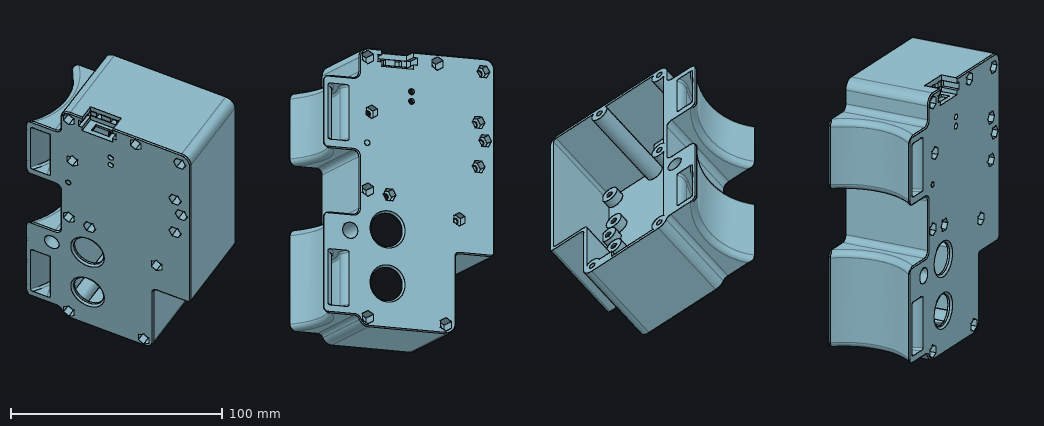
import cadquery as cq
import math


LENGTH_X = 87.99
DEPTH_Y = 44.75
HEIGHT_Z = 135.0

BODY_LEFT = 18.25
BODY_RADIUS = 5.0
BOTTOM_RIGHT = 68.1
STEP_Z = 39.4
STEP_RADIUS = 1.6
LUG_RADIUS = 3.0
UPPER_LUG_BOTTOM = 85.0
UPPER_LUG_TOP = 120.1
LOWER_LUG_BOTTOM = BODY_RADIUS
LOWER_LUG_TOP = 53.9
LUG_OVERRUN = 10.0
FRONT_CHAMFER = 0.6

TUBE_X = -23.5
TUBE_Y = 22.8
TUBE_RADIUS = 32.3
BACK_LAND_X = 1.4
BACK_LAND_DEPTH = 1.0

STRAP_INNER_RADIUS = TUBE_RADIUS + 2.0
STRAP_OUTER_RADIUS = STRAP_INNER_RADIUS + 4.0
STRAP_LIP_RADIUS = 6.0
STRAP_LIP_Y = 4.6
STRAP_HEIGHT = 27.2
STRAP_EDGE_RADIUS = 1.0
STRAP_CENTRES_Z = (102.65, 22.35)

WALL = 2.0
PLATE = 2.0
CAVITY_RADIUS = 1.6
LEDGE_X = 51.2
LEDGE_HEIGHT = 4.0
LEDGE_SEAT = 12.0
LEDGE_SEAT_DEPTH = 0.6
LEDGE_SEAT_Y = 17.0

SCREW_HOLE = 3.2
HEX_CORNERS = 6.5
POINTS_UP = 90
POINTS_SIDEWAYS = 0
CASE_HEX_DEPTH = 9.0
INNER_HEX_DEPTH = 5.4
POST_DIAMETER = 9.0
SHORT_POST = 6.4
SCREW_INSET = POST_DIAMETER / 2
SCREW_LEFT = BODY_LEFT + SCREW_INSET
SCREW_TOP = HEIGHT_Z - SCREW_INSET
TOP_SCREW_X = 58.6
BOTTOM_SCREW_X = 62.9
MIDDLE_SCREW_Z = 66.3
CASE_SCREWS = [
    (SCREW_LEFT, SCREW_TOP),
    (TOP_SCREW_X, SCREW_TOP),
    (SCREW_LEFT, MIDDLE_SCREW_Z),
    (SCREW_LEFT, SCREW_INSET),
    (BOTTOM_SCREW_X, SCREW_INSET),
]
INNER_SCREWS = [(24.7, 104.2), (69.8, 56.0)]
TURNED_SCREWS = [(82.2, 128.6), (79.7, 103.8), (83.1, 95.2), (79.7, 82.4), (33.9, 64.8)]

SENSOR_HOLE = 16.0
SENSOR_RIM = 18.0
SENSOR_X = 32.8
SENSOR_CENTRES_Z = (47.9, 21.7)
CABLE_HOLE = 7.8
CABLE_CENTRE = (13.6, 45.8)
LAMP_HOLE = 2.8
LAMP_X = 45.2
LAMP_CENTRES_Z = (115.7, 111.0)
DIMPLE_DIAMETER = 2.7
DIMPLE_DEPTH = 0.1
DIMPLE_CENTRE = (22.4, 89.0)

RECESS_X = 38.05
RECESS_WIDTH = 16.4
RECESS_HEIGHT = 8.4
RECESS_DEPTH = 8.5
GROOVE_SIDE = 1.9
GROOVE_TOP = HEIGHT_Z - 2.7
GROOVE_HEIGHT = 3.5
BAND_TOP = GROOVE_TOP - 0.1
BAND_HEIGHT = 2.9
BAND_DEPTH = 0.3
WINDOW_DEPTH = 3.0
WINDOWS_X = ((32.9, 35.6), (40.5, 43.7))
PORT_LEFT = 33.7
PORT_RIGHT = 43.0
PORT_FRONT = 2.4
PORT_BACK = 6.7
PORT_FLOOR = 1.2


def box(x0, x1, y0, y1, z0, z1):
    """Box between two corners."""
    return cq.Workplane("XY").box(x1 - x0, y1 - y0, z1 - z0, centered=False).translate((x0, y0, z0))


def front_sketch():
    """Sketch plane on the outer face of the front plate; a negative extrusion runs towards the back."""
    return cq.Workplane("XZ")


def round_bars(centres, diameter, length):
    """Round bars along Y from the front plate."""
    return front_sketch().pushPoints(centres).circle(diameter / 2).extrude(-length)


def case_outline():
    """Solid case with the lugs running past their saddle."""
    r = BODY_RADIUS
    lug = LUG_RADIUS
    step = STEP_RADIUS
    left = -LUG_OVERRUN
    corner_x = BODY_LEFT + r
    sum_radii = r + lug
    fillet_z = LOWER_LUG_BOTTOM - lug
    fillet_x = corner_x - math.sqrt(sum_radii**2 - (r - fillet_z) ** 2)
    touch_x = corner_x + (fillet_x - corner_x) * r / sum_radii
    touch_z = r + (fillet_z - r) * r / sum_radii
    outline = (
        front_sketch()
        .moveTo(corner_x, HEIGHT_Z)
        .lineTo(LENGTH_X - r, HEIGHT_Z)
        .radiusArc((LENGTH_X, HEIGHT_Z - r), r)
        .lineTo(LENGTH_X, STEP_Z + step)
        .radiusArc((LENGTH_X - step, STEP_Z), step)
        .lineTo(BOTTOM_RIGHT + step, STEP_Z)
        .radiusArc((BOTTOM_RIGHT, STEP_Z - step), -step)
        .lineTo(BOTTOM_RIGHT, r)
        .radiusArc((BOTTOM_RIGHT - r, 0), r)
        .lineTo(corner_x, 0)
        .radiusArc((touch_x, touch_z), r)
        .radiusArc((fillet_x, LOWER_LUG_BOTTOM), -lug)
        .lineTo(left, LOWER_LUG_BOTTOM)
        .lineTo(left, LOWER_LUG_TOP)
        .lineTo(BODY_LEFT - lug, LOWER_LUG_TOP)
        .radiusArc((BODY_LEFT, LOWER_LUG_TOP + lug), -lug)
        .lineTo(BODY_LEFT, UPPER_LUG_BOTTOM - lug)
        .radiusArc((BODY_LEFT - lug, UPPER_LUG_BOTTOM), -lug)
        .lineTo(left, UPPER_LUG_BOTTOM)
        .lineTo(left, UPPER_LUG_TOP)
        .lineTo(BODY_LEFT - lug, UPPER_LUG_TOP)
        .radiusArc((BODY_LEFT, UPPER_LUG_TOP + lug), -lug)
        .lineTo(BODY_LEFT, HEIGHT_Z - r)
        .radiusArc((corner_x, HEIGHT_Z), r)
        .close()
    )
    return outline.extrude(-DEPTH_Y).faces("<Y").edges().chamfer(FRONT_CHAMFER)


def lug_form(bottom, top):
    """One lug with rounded corners, hollowed and rounded along the tube bed."""
    margin = LUG_RADIUS
    bed = box(-LUG_OVERRUN, BODY_LEFT, -margin, DEPTH_Y + margin, bottom, top)
    tube = (
        cq.Workplane("XY", origin=(0, 0, bottom))
        .center(TUBE_X, TUBE_Y)
        .circle(TUBE_RADIUS)
        .extrude(top - bottom)
    )
    bed = bed.cut(tube).edges("%CIRCLE").fillet(LUG_RADIUS)
    back_y = DEPTH_Y - BACK_LAND_DEPTH
    front = box(0, BODY_LEFT, 0, back_y, bottom, top).edges("<X and |Y").fillet(LUG_RADIUS)
    back = box(BACK_LAND_X, BODY_LEFT, back_y, DEPTH_Y, bottom, top).edges("<X and |Y").fillet(LUG_RADIUS)
    return bed.intersect(front).union(bed.intersect(back))


def lug_waste(bottom, top):
    """Material to remove from the overrunning case so that one finished lug remains."""
    waste = box(-LUG_OVERRUN - 1, BODY_LEFT - LUG_RADIUS, 0, DEPTH_Y, bottom, top)
    return waste.cut(lug_form(bottom, top))


def tube_offset_x(radius, y):
    """X on a circle around the tube axis."""
    return TUBE_X + math.sqrt(radius**2 - (y - TUBE_Y) ** 2)


def strap_slot(z):
    """Curved strap slot around the tube, widened by a round lip at its front and back mouths."""
    inner = STRAP_INNER_RADIUS
    outer = STRAP_OUTER_RADIUS
    lip = STRAP_LIP_RADIUS
    front_lip = (tube_offset_x(outer + lip, STRAP_LIP_Y), STRAP_LIP_Y)
    back_lip = (front_lip[0], 2 * TUBE_Y - STRAP_LIP_Y)
    front_mouth_x = front_lip[0] - math.sqrt(lip**2 - front_lip[1] ** 2)
    back_mouth_x = back_lip[0] - math.sqrt(lip**2 - (DEPTH_Y - back_lip[1]) ** 2)
    share = outer / (outer + lip)
    touch_x = TUBE_X + (front_lip[0] - TUBE_X) * share
    front_touch_y = TUBE_Y + (front_lip[1] - TUBE_Y) * share
    back_touch_y = TUBE_Y + (back_lip[1] - TUBE_Y) * share
    slot = (
        cq.Workplane("XY", origin=(0, 0, z - STRAP_HEIGHT / 2))
        .moveTo(tube_offset_x(inner, 0), 0)
        .lineTo(front_mouth_x, 0)
        .threePointArc((front_lip[0] - lip, front_lip[1]), (touch_x, front_touch_y))
        .threePointArc((TUBE_X + outer, TUBE_Y), (touch_x, back_touch_y))
        .threePointArc((back_lip[0] - lip, back_lip[1]), (back_mouth_x, DEPTH_Y))
        .lineTo(tube_offset_x(inner, DEPTH_Y), DEPTH_Y)
        .threePointArc((TUBE_X + inner, TUBE_Y), (tube_offset_x(inner, 0), 0))
        .close()
        .extrude(STRAP_HEIGHT)
    )
    return slot.faces("<Z or >Z").edges("%CIRCLE").fillet(STRAP_EDGE_RADIUS)


def cavity():
    """Room inside the walls, open at the back."""
    left = BODY_LEFT + WALL
    upper = box(left, LENGTH_X - WALL, PLATE, DEPTH_Y, STEP_Z + WALL, HEIGHT_Z - WALL)
    lower = box(left, BOTTOM_RIGHT - WALL, PLATE, DEPTH_Y, WALL, HEIGHT_Z - WALL)
    ledge_top = WALL + LEDGE_HEIGHT
    ledge = box(LEDGE_X, BOTTOM_RIGHT, PLATE, DEPTH_Y, 0, ledge_top)
    seat_x = (LEDGE_X + BOTTOM_RIGHT - WALL) / 2
    seat_top = cq.Workplane("XY", origin=(seat_x, LEDGE_SEAT_Y, ledge_top))
    seat = seat_top.circle(LEDGE_SEAT / 2).extrude(-LEDGE_SEAT_DEPTH)
    ledge = ledge.cut(seat)
    recess_shell = box(
        RECESS_X - RECESS_WIDTH / 2 - GROOVE_SIDE - WALL,
        RECESS_X + RECESS_WIDTH / 2 + GROOVE_SIDE + WALL,
        0,
        RECESS_DEPTH + WINDOW_DEPTH + WALL,
        HEIGHT_Z - RECESS_HEIGHT - PORT_FLOOR,
        HEIGHT_Z,
    )
    room = upper.union(lower).edges("|Y").fillet(CAVITY_RADIUS)
    room = room.cut(ledge).cut(recess_shell)
    room = room.cut(round_bars(CASE_SCREWS, POST_DIAMETER, DEPTH_Y))
    return room.cut(round_bars(INNER_SCREWS + TURNED_SCREWS, POST_DIAMETER, SHORT_POST))


def screw_openings():
    """Through holes and hexagonal pockets for every screw."""
    holes = round_bars(CASE_SCREWS + INNER_SCREWS + TURNED_SCREWS, SCREW_HOLE, DEPTH_Y)
    pocket_groups = (
        (CASE_SCREWS, POINTS_UP, CASE_HEX_DEPTH),
        (INNER_SCREWS, POINTS_UP, INNER_HEX_DEPTH),
        (TURNED_SCREWS, POINTS_SIDEWAYS, INNER_HEX_DEPTH),
    )
    for centres, turn, depth in pocket_groups:
        for x, z in centres:
            pocket = (
                front_sketch()
                .transformed(offset=(x, z, 0), rotate=(0, 0, turn))
                .polygon(6, HEX_CORNERS)
                .extrude(-depth)
            )
            holes = holes.union(pocket)
    return holes


def round_openings():
    """Sensor, cable and lamp holes and the shallow dimple."""
    sensors = [(SENSOR_X, z) for z in SENSOR_CENTRES_Z]
    lamps = [(LAMP_X, z) for z in LAMP_CENTRES_Z]
    rim_depth = (SENSOR_RIM - SENSOR_HOLE) / 2
    rims = front_sketch().pushPoints(sensors).circle(SENSOR_RIM / 2).extrude(-rim_depth, taper=45)
    holes = rims.union(round_bars(sensors, SENSOR_HOLE, PLATE))
    holes = holes.union(round_bars(lamps, LAMP_HOLE, PLATE))
    holes = holes.union(round_bars([CABLE_CENTRE], CABLE_HOLE, DEPTH_Y))
    return holes.union(round_bars([DIMPLE_CENTRE], DIMPLE_DIAMETER, DIMPLE_DEPTH))


def connector_recess():
    """Recess with grooves in its sides, a windowed band in its back and a port into the cavity."""
    left = RECESS_X - RECESS_WIDTH / 2
    right = RECESS_X + RECESS_WIDTH / 2
    floor = HEIGHT_Z - RECESS_HEIGHT
    groove_floor = GROOVE_TOP - GROOVE_HEIGHT
    recess = box(left, right, 0, RECESS_DEPTH, floor, HEIGHT_Z)
    groove = box(left - GROOVE_SIDE, right + GROOVE_SIDE, 0, RECESS_DEPTH, groove_floor, GROOVE_TOP)
    band_floor = BAND_TOP - BAND_HEIGHT
    band = box(left, right, RECESS_DEPTH, RECESS_DEPTH + BAND_DEPTH, band_floor, BAND_TOP)
    window_end = RECESS_DEPTH + WINDOW_DEPTH
    for window_left, window_right in WINDOWS_X:
        band = band.union(box(window_left, window_right, RECESS_DEPTH, window_end, band_floor, BAND_TOP))
    port = box(PORT_LEFT, PORT_RIGHT, PORT_FRONT, PORT_BACK, floor - PORT_FLOOR, floor)
    return recess.union(groove).union(band).union(port)


result = case_outline()
for lug_bottom, lug_top in ((LOWER_LUG_BOTTOM, LOWER_LUG_TOP), (UPPER_LUG_BOTTOM, UPPER_LUG_TOP)):
    result = result.cut(lug_waste(lug_bottom, lug_top))
result = result.cut(cavity())
for slot_z in STRAP_CENTRES_Z:
    result = result.cut(strap_slot(slot_z))
result = result.cut(screw_openings()).cut(round_openings()).cut(connector_recess())